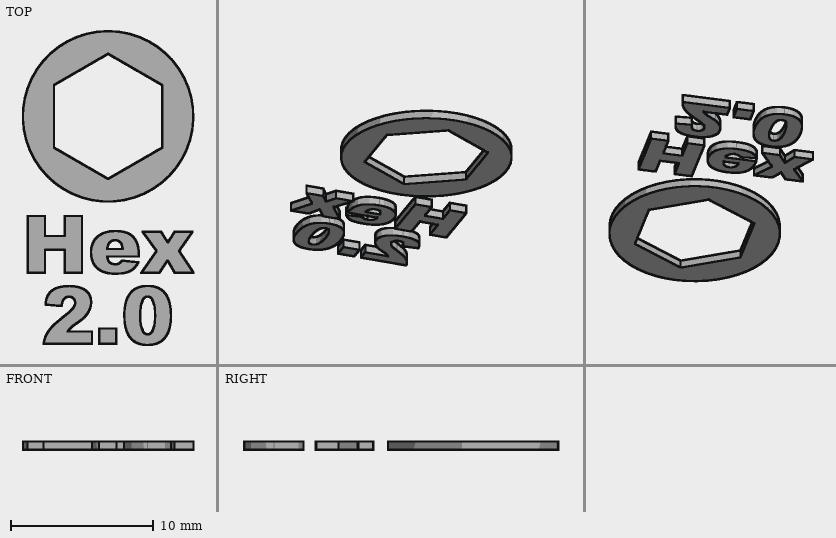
import cadquery as cq
import math

THICKNESS = 0.6

RING_DIAMETER = 12.0
HEX_ACROSS_FLATS = 7.6
HEX_ACROSS_CORNERS = HEX_ACROSS_FLATS / math.cos(math.radians(30))

CAP_HEIGHT = 4.0
HEX_BASELINE = -11.0
SIZE_BASELINE = -16.0
H_LEFT = -5.66
E_LEFT = -1.21
X_LEFT = 2.33
TWO_LEFT = -4.54
DOT_LEFT = -0.63
ZERO_LEFT = 1.13


H_WIDTH = 3.84
H_STEM = 1.24
H_BAR_BOTTOM = 1.62
H_BAR_TOP = 2.6

E_TOP = 2.95
E_BOTTOM = -0.07
E_BAR_BOTTOM = 1.14
E_BAR_TOP = 1.68
E_BAR_RIGHT = 3.39
E_COUNTER_LEFT = 1.15
E_COUNTER_RIGHT = 2.24
E_COUNTER_TOP = 2.29
E_MOUTH_BOTTOM = 0.6
E_MIDDLE = 1.7
E_TAIL_TIP = (3.35, 0.75)
E_TAIL_ROOT = (2.18, 0.87)

X_WIDTH = 3.69
X_HEIGHT = 2.9
X_WAIST_HEIGHT = 1.54
X_WAIST_LEFT = 1.07
X_WAIST_RIGHT = 2.67
X_LOWER_CROTCH = (1.85, 0.87)
X_UPPER_CROTCH = (1.87, 2.15)
X_LEFT_FOOT_END = 1.28
X_RIGHT_FOOT_START = 2.35
X_LEFT_ARM = (0.08, 1.39)
X_RIGHT_ARM = (2.35, 3.62)

TWO_WIDTH = 3.41
TWO_TOP = 4.08
TWO_FOOT_HEIGHT = 0.88
TWO_FOOT_CORNER = 1.7
TWO_BOWL_RIGHT = 3.36
TWO_BOWL_MIDDLE = 1.8
TWO_BOWL_SIDE_HEIGHT = 2.94
TWO_INNER_TOP = 3.32
TWO_INNER_RIGHT = 2.22
TWO_OPEN_END_OUTER = (0.14, 2.76)
TWO_OPEN_END_INNER = (1.27, 2.66)

DOT_WIDTH = 1.22
DOT_HEIGHT = 1.09

ZERO_WIDTH = 3.3
ZERO_OVERSHOOT = 0.08
ZERO_HEIGHT = 4.17
ZERO_COUNTER_WIDTH = 1.04
ZERO_COUNTER_HEIGHT = 2.65
ZERO_FULLNESS = 0.66


def character_plane(left, baseline):
    """Workplane whose origin is the left end of a character's baseline."""
    return cq.Workplane("XY", origin=(left, baseline, 0))


def make_ring():
    return (
        cq.Workplane("XY")
        .circle(RING_DIAMETER / 2)
        .polygon(6, HEX_ACROSS_CORNERS)
        .extrude(THICKNESS)
        .rotate((0, 0, 0), (0, 0, 1), 90)
    )


def make_letter_h():
    right_stem = H_WIDTH - H_STEM
    return (
        character_plane(H_LEFT, HEX_BASELINE)
        .polyline([
            (0, 0),
            (H_STEM, 0),
            (H_STEM, H_BAR_BOTTOM),
            (right_stem, H_BAR_BOTTOM),
            (right_stem, 0),
            (H_WIDTH, 0),
            (H_WIDTH, CAP_HEIGHT),
            (right_stem, CAP_HEIGHT),
            (right_stem, H_BAR_TOP),
            (H_STEM, H_BAR_TOP),
            (H_STEM, CAP_HEIGHT),
            (0, CAP_HEIGHT),
        ])
        .close()
        .extrude(THICKNESS)
    )


def make_letter_e():
    plane = character_plane(E_LEFT, HEX_BASELINE)
    body = (
        plane.moveTo(E_BAR_RIGHT, E_BAR_BOTTOM)
        .bezier([(3.4, 2.4), (2.88, E_TOP), (E_MIDDLE, E_TOP)], includeCurrent=True)
        .bezier([(0.65, E_TOP), (0, 2.35), (0, 1.45)], includeCurrent=True)
        .bezier([(0, 0.45), (0.65, E_BOTTOM), (E_MIDDLE, E_BOTTOM)], includeCurrent=True)
        .bezier([(2.6, E_BOTTOM), (3.0, 0.12), E_TAIL_TIP], includeCurrent=True)
        .lineTo(*E_TAIL_ROOT)
        .bezier([(2.08, 0.69), (1.9, E_MOUTH_BOTTOM), (E_MIDDLE, E_MOUTH_BOTTOM)], includeCurrent=True)
        .bezier(
            [(1.4, E_MOUTH_BOTTOM), (1.17, 0.8), (E_COUNTER_LEFT, E_BAR_BOTTOM)],
            includeCurrent=True,
        )
        .close()
        .extrude(THICKNESS)
    )
    counter = (
        plane.moveTo(E_COUNTER_RIGHT, E_BAR_TOP)
        .bezier(
            [(2.2, 2.1), (2.0, E_COUNTER_TOP), (E_MIDDLE, E_COUNTER_TOP)],
            includeCurrent=True,
        )
        .bezier([(1.39, E_COUNTER_TOP), (1.18, 2.05), (E_COUNTER_LEFT, E_BAR_TOP)], includeCurrent=True)
        .close()
        .extrude(THICKNESS)
    )
    return body.cut(counter)


def make_letter_x():
    return (
        character_plane(X_LEFT, HEX_BASELINE)
        .polyline([
            (0, 0),
            (X_LEFT_FOOT_END, 0),
            X_LOWER_CROTCH,
            (X_RIGHT_FOOT_START, 0),
            (X_WIDTH, 0),
            (X_WAIST_RIGHT, X_WAIST_HEIGHT),
            (X_RIGHT_ARM[1], X_HEIGHT),
            (X_RIGHT_ARM[0], X_HEIGHT),
            X_UPPER_CROTCH,
            (X_LEFT_ARM[1], X_HEIGHT),
            (X_LEFT_ARM[0], X_HEIGHT),
            (X_WAIST_LEFT, X_WAIST_HEIGHT),
        ])
        .close()
        .extrude(THICKNESS)
    )


def make_digit_two():
    return (
        character_plane(TWO_LEFT, SIZE_BASELINE)
        .lineTo(TWO_WIDTH, 0)
        .lineTo(TWO_WIDTH, TWO_FOOT_HEIGHT)
        .lineTo(TWO_FOOT_CORNER, TWO_FOOT_HEIGHT)
        .bezier([(2.05, 1.35), (2.45, 1.5), (2.75, 1.75)], includeCurrent=True)
        .bezier(
            [(3.13, 2.1), (TWO_BOWL_RIGHT, 2.5), (TWO_BOWL_RIGHT, TWO_BOWL_SIDE_HEIGHT)],
            includeCurrent=True,
        )
        .bezier(
            [(TWO_BOWL_RIGHT, 3.65), (2.8, TWO_TOP), (TWO_BOWL_MIDDLE, TWO_TOP)],
            includeCurrent=True,
        )
        .bezier([(0.75, TWO_TOP), (0.17, 3.65), TWO_OPEN_END_OUTER], includeCurrent=True)
        .lineTo(*TWO_OPEN_END_INNER)
        .bezier(
            [(1.3, 3.1), (1.5, TWO_INNER_TOP), (TWO_BOWL_MIDDLE, TWO_INNER_TOP)],
            includeCurrent=True,
        )
        .bezier(
            [(2.05, TWO_INNER_TOP), (TWO_INNER_RIGHT, 3.14), (TWO_INNER_RIGHT, 2.9)],
            includeCurrent=True,
        )
        .bezier([(TWO_INNER_RIGHT, 2.55), (1.85, 2.25), (1.4, 1.92)], includeCurrent=True)
        .bezier([(0.5, 1.24), (0.08, 0.7), (0, 0)], includeCurrent=True)
        .close()
        .extrude(THICKNESS)
    )


def make_full_stop():
    return (
        character_plane(DOT_LEFT, SIZE_BASELINE)
        .rect(DOT_WIDTH, DOT_HEIGHT, centered=False)
        .extrude(THICKNESS)
    )


def make_full_oval(plane, width, height):
    """Oval plate centred on the plane, slightly squarer than an ellipse."""
    a = width / 2
    b = height / 2
    handle_x = a * ZERO_FULLNESS
    handle_y = b * ZERO_FULLNESS
    return (
        plane.moveTo(a, 0)
        .bezier([(a, handle_y), (handle_x, b), (0, b)], includeCurrent=True)
        .bezier([(-handle_x, b), (-a, handle_y), (-a, 0)], includeCurrent=True)
        .bezier([(-a, -handle_y), (-handle_x, -b), (0, -b)], includeCurrent=True)
        .bezier([(handle_x, -b), (a, -handle_y), (a, 0)], includeCurrent=True)
        .close()
        .extrude(THICKNESS)
    )


def make_digit_zero():
    middle = character_plane(
        ZERO_LEFT + ZERO_WIDTH / 2,
        SIZE_BASELINE - ZERO_OVERSHOOT + ZERO_HEIGHT / 2,
    )
    body = make_full_oval(middle, ZERO_WIDTH, ZERO_HEIGHT)
    counter = make_full_oval(middle, ZERO_COUNTER_WIDTH, ZERO_COUNTER_HEIGHT)
    return body.cut(counter)


ring = make_ring()
letter_h = make_letter_h()
letter_e = make_letter_e()
letter_x = make_letter_x()
digit_two = make_digit_two()
full_stop = make_full_stop()
digit_zero = make_digit_zero()

result = cq.Compound.makeCompound([
    ring.val(),
    letter_h.val(),
    letter_e.val(),
    letter_x.val(),
    digit_two.val(),
    full_stop.val(),
    digit_zero.val(),
])